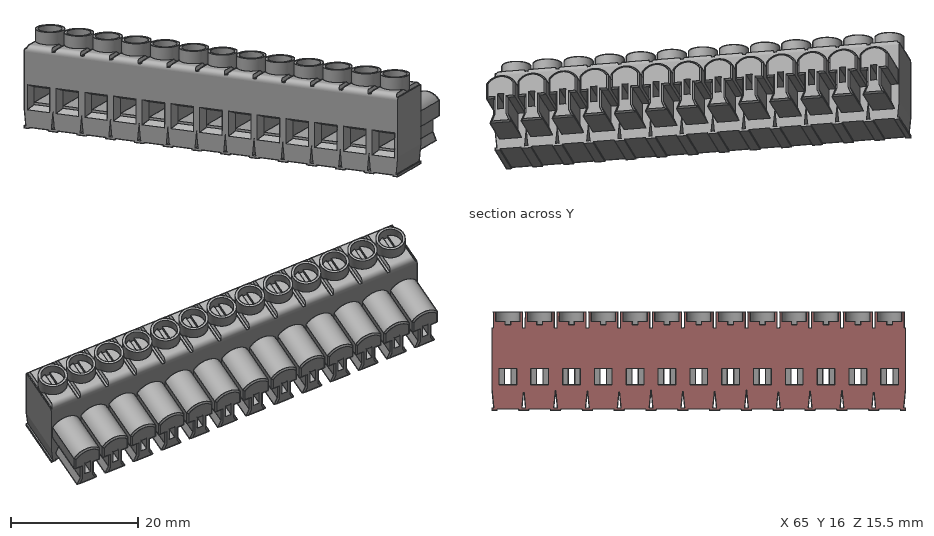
import cadquery as cq

poles = 13
length = 65.0
pitch = length / poles
total_depth = 16.0
total_height = 15.5

housing_depth = 8.5
housing_bottom = 0.2
housing_top = 13.45
housing_rounding = 1.0

top_groove_floor = 12.95
top_groove_floor_half = 0.2
top_groove_mouth_half = 0.45
lower_groove_apex = 3.2
lower_groove_half = 0.29

foot_top = 0.4
foot_half = 0.85
foot_slope = 0.05

collar_diameter = 4.6
collar_bore = 3.8
collar_bore_depth = 1.5
driver_slot_width = 0.85
driver_slot_depth = 0.5

entry_width = 3.9
entry_bottom = 3.05
entry_top = 7.15
entry_taper = 0.6
entry_depth = 1.3
clamp_sill = 0.4
chamber_end = 7.15
pin_slot_width = 1.0

plug_half = 2.3
plug_neck_half = 1.2
plug_base_half = 1.75
plug_top = 9.7
plug_shoulder = 8.45
plug_step = 5.9
plug_neck_bottom = 3.2
plug_bottom = 1.8
plug_chamfer = 0.25

pole_centers = [(i + 0.5) * pitch for i in range(poles)]
pole_boundaries = [i * pitch for i in range(poles + 1)]
screw_y = housing_depth / 2
chamber_half = entry_width / 2 - entry_taper
chamber_bottom = entry_bottom + entry_taper + clamp_sill
chamber_top = entry_top - entry_taper


def block(x0, x1, y0, y1, z0, z1):
    """Axis-aligned box between two opposite corners."""
    return cq.Workplane("XY").box(x1 - x0, y1 - y0, z1 - z0, centered=False).translate((x0, y0, z0))


def prism_along_y(points, depth):
    """Closed XZ outline extruded from y = 0 towards +Y."""
    return cq.Workplane("XZ").polyline(points).close().extrude(-depth)


def make_housing():
    body = block(0, length, 0, housing_depth, housing_bottom, housing_top)
    return body.edges("|X and >Z").fillet(housing_rounding)


def make_top_groove(x):
    return prism_along_y(
        [
            (x - top_groove_floor_half, top_groove_floor),
            (x + top_groove_floor_half, top_groove_floor),
            (x + top_groove_mouth_half, housing_top),
            (x - top_groove_mouth_half, housing_top),
        ],
        housing_depth,
    )


def make_lower_groove(x):
    return prism_along_y(
        [
            (x - lower_groove_half, housing_bottom),
            (x + lower_groove_half, housing_bottom),
            (x, lower_groove_apex),
        ],
        housing_depth,
    )


def make_foot(x):
    """Foot under a pole boundary, trimmed to the housing ends."""
    left = max(x - foot_half, 0)
    right = min(x + foot_half, length)
    left_slope = foot_slope if left > 0 else 0
    right_slope = foot_slope if right < length else 0
    return prism_along_y(
        [
            (left + left_slope, 0),
            (right - right_slope, 0),
            (right, housing_bottom),
            (right, foot_top),
            (left, foot_top),
            (left, housing_bottom),
        ],
        housing_depth,
    )


def make_collar(x):
    """Screw collar seated at groove level, with the slotted screw head sunk inside it."""
    collar = (
        cq.Workplane("XY", origin=(x, screw_y, top_groove_floor))
        .circle(collar_diameter / 2)
        .extrude(total_height - top_groove_floor)
    )
    bore = (
        cq.Workplane("XY", origin=(x, screw_y, total_height))
        .circle(collar_bore / 2)
        .extrude(-collar_bore_depth)
    )
    slot_depth = collar_bore_depth + driver_slot_depth
    driver_slot = (
        cq.Workplane("XY", origin=(x, screw_y, total_height))
        .circle(collar_bore / 2)
        .extrude(-slot_depth)
        .intersect(
            block(
                x - driver_slot_width / 2,
                x + driver_slot_width / 2,
                0,
                housing_depth,
                total_height - slot_depth,
                total_height,
            )
        )
    )
    return collar.cut(bore).cut(driver_slot)


def make_plug(x):
    """Keyed plug: arched top, narrow neck and flared base, chamfered at its free end."""
    plug = (
        cq.Workplane("XZ", origin=(x, housing_depth, 0))
        .moveTo(-plug_half, plug_step)
        .lineTo(-plug_half, plug_shoulder)
        .threePointArc((0, plug_top), (plug_half, plug_shoulder))
        .lineTo(plug_half, plug_step)
        .lineTo(plug_neck_half, plug_step)
        .lineTo(plug_neck_half, plug_neck_bottom)
        .lineTo(plug_base_half, plug_bottom)
        .lineTo(-plug_base_half, plug_bottom)
        .lineTo(-plug_neck_half, plug_neck_bottom)
        .lineTo(-plug_neck_half, plug_step)
        .close()
        .extrude(housing_depth - total_depth)
    )
    return plug.faces(">Y").chamfer(plug_chamfer)


def make_wire_passage(x):
    """Tapered entry, clamp chamber and the pin slot that runs out through the plug."""
    entry_height = entry_top - entry_bottom
    entry = (
        cq.Workplane("XZ", origin=(x, 0, (entry_bottom + entry_top) / 2))
        .rect(entry_width, entry_height)
        .workplane(offset=-entry_depth)
        .rect(entry_width - 2 * entry_taper, entry_height - 2 * entry_taper)
        .loft(ruled=True)
    )
    chamber = block(
        x - chamber_half, x + chamber_half, entry_depth, chamber_end, chamber_bottom, chamber_top
    )
    pin_slot = block(
        x - pin_slot_width / 2,
        x + pin_slot_width / 2,
        chamber_end,
        total_depth,
        chamber_bottom,
        chamber_top,
    )
    return entry.union(chamber).union(pin_slot)


def gather(make_feature, positions):
    """Gather copies of one feature, one at each X position, as a single shape."""
    shapes = [make_feature(x).val() for x in positions]
    return cq.Workplane(cq.Compound.makeCompound(shapes))


result = (
    make_housing()
    .cut(gather(make_top_groove, pole_boundaries))
    .cut(gather(make_lower_groove, pole_boundaries))
    .union(gather(make_foot, pole_boundaries))
    .union(gather(make_plug, pole_centers))
    .union(gather(make_collar, pole_centers))
    .cut(gather(make_wire_passage, pole_centers))
)